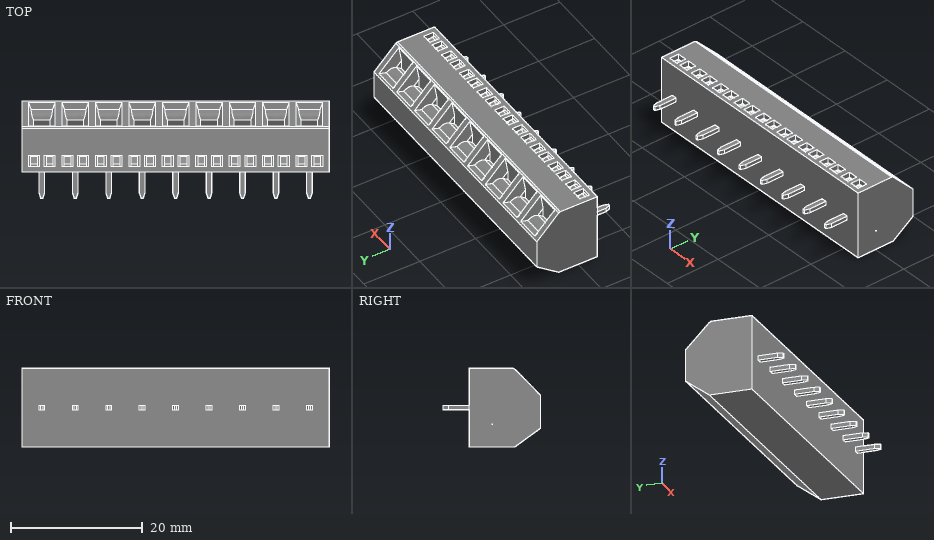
import cadquery as cq
import math

pole_count = 9
end_margin = 3.05
pip_length = 0.05
pip_radius = 0.05
pip_height = 3.5
overall_length = 46.7
housing_length = overall_length - pip_length
housing_depth = 10.85
housing_height = 12.0
slope_depth = 3.92
slope_drop = 3.95
crest_depth = 0.3
crest_drop = 0.15
under_depth = 3.92
under_rise = 2.85

pin_length = 3.95
pin_width = 0.9
pin_thickness = 0.7
pin_tip_width = 0.35
pin_taper_length = 0.85

slot_size = 1.7
slot_depth = 0.95
slot_spacing = 2.4
slot_front_gap = 0.85
wedge_width = 1.05
wedge_back_gap = 0.15
wedge_run = 1.1
wedge_rise = 0.4

funnel_width = 4.0
throat_width = 2.5
taper_depth = 1.45
funnel_start = 0.3
hump_start = 1.3
hump_crest = 2.48
hump_end = 2.95
funnel_end = 3.85
hump_rise = 0.6
hump_fall = 0.05
hump_start_angle = 37
hump_end_angle = 17
throat_angle = 35

pole_pitch = (housing_length - 2 * end_margin) / (pole_count - 1)
pole_positions = [(i - (pole_count - 1) / 2) * pole_pitch for i in range(pole_count)]
slope_top_z = housing_height - crest_drop
slope_foot_z = slope_top_z - slope_drop
slope_angle = math.atan2(slope_drop, slope_depth)


def extrude_along_x(outline, width, center_x):
    """Prism of a closed (Y, Z) outline, centred on center_x."""
    start = cq.Workplane("YZ", origin=(center_x - width / 2, 0, 0))
    return start.polyline(outline).close().extrude(width)


def make_housing():
    slope_top_y = housing_depth - slope_depth
    outline = [
        (0, 0),
        (housing_depth - under_depth, 0),
        (housing_depth, under_rise),
        (housing_depth, slope_foot_z),
        (slope_top_y, slope_top_z),
        (slope_top_y - crest_depth, housing_height),
        (0, housing_height),
    ]
    return extrude_along_x(outline, housing_length, 0)


def make_pin(x):
    straight_end = pin_taper_length - pin_length
    outline = [
        (x - pin_width / 2, 0),
        (x - pin_width / 2, straight_end),
        (x - pin_tip_width / 2, -pin_length),
        (x + pin_tip_width / 2, -pin_length),
        (x + pin_width / 2, straight_end),
        (x + pin_width / 2, 0),
    ]
    bottom_z = (housing_height - pin_thickness) / 2
    return cq.Workplane("XY", origin=(0, 0, bottom_z)).polyline(outline).close().extrude(pin_thickness)


def make_slot(x):
    """Square recess minus the wedge that stays standing on its floor."""
    floor_z = housing_height - slot_depth
    slot_back = slot_front_gap + slot_size
    recess = cq.Workplane("XY", origin=(x, slot_front_gap + slot_size / 2, floor_z))
    recess = recess.rect(slot_size, slot_size).extrude(slot_depth)
    wedge_back = slot_back - wedge_back_gap
    wedge_front = wedge_back - wedge_run
    wedge_outline = [
        (wedge_back, floor_z),
        (wedge_front, floor_z + wedge_rise),
        (slot_front_gap, floor_z + wedge_rise),
        (slot_front_gap, floor_z),
    ]
    return recess.cut(extrude_along_x(wedge_outline, wedge_width, x))


def make_funnel(x):
    """Humped floor profile limited by side walls that taper in square to the slope."""
    def at(inward, z):
        return (housing_depth - inward, z)

    def heading(angle):
        return (-math.cos(math.radians(angle)), math.sin(math.radians(angle)))

    floor_z = slope_foot_z + funnel_start * math.tan(slope_angle)
    crest_z = floor_z + hump_rise
    hump_end_z = crest_z - hump_fall
    throat_z = hump_end_z - (funnel_end - hump_end) * math.tan(math.radians(throat_angle))
    upper_lip_z = slope_foot_z + funnel_end * math.tan(slope_angle)
    floor_space = (
        cq.Workplane("YZ", origin=(x - funnel_width / 2, 0, 0))
        .moveTo(*at(funnel_start, floor_z))
        .lineTo(*at(hump_start, floor_z))
        .spline(
            [at(hump_crest, crest_z), at(hump_end, hump_end_z)],
            tangents=[heading(hump_start_angle), heading(-hump_end_angle)],
            includeCurrent=True,
        )
        .lineTo(*at(funnel_end, throat_z))
        .lineTo(*at(funnel_end, upper_lip_z))
        .close()
        .extrude(funnel_width)
    )

    wall_reach = housing_depth
    wall_plane = cq.Plane(
        origin=(x, housing_depth, slope_foot_z),
        xDir=(1, 0, 0),
        normal=(0, -math.cos(slope_angle), math.sin(slope_angle)),
    )
    walls = [
        (-funnel_width / 2, 0),
        (-throat_width / 2, -taper_depth),
        (-throat_width / 2, -wall_reach),
        (throat_width / 2, -wall_reach),
        (throat_width / 2, -taper_depth),
        (funnel_width / 2, 0),
    ]
    side_space = cq.Workplane(wall_plane).polyline(walls).close().extrude(wall_reach, both=True)
    return floor_space.intersect(side_space)


result = make_housing()
for pole_x in pole_positions:
    result = result.union(make_pin(pole_x))
    result = result.cut(make_funnel(pole_x))
    for side in (-1, 1):
        result = result.cut(make_slot(pole_x + side * slot_spacing / 2))

pip_plane = cq.Workplane("YZ", origin=(housing_length / 2, 0, 0))
pip = pip_plane.center(pip_height, pip_height).circle(pip_radius).extrude(pip_length)
result = result.union(pip)